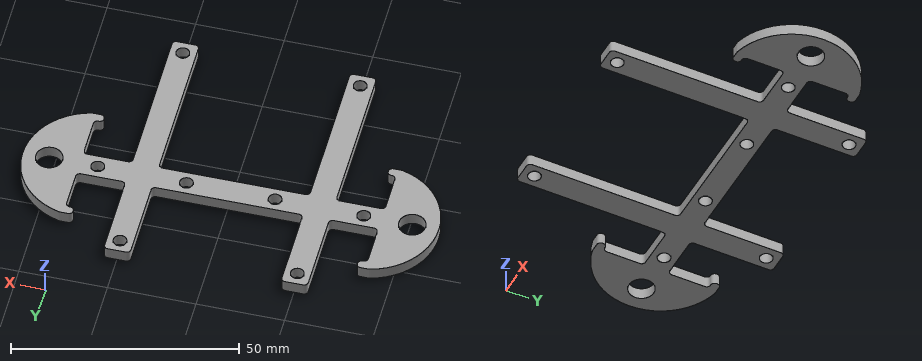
import cadquery as cq

length = 94.0
thickness = 3.0
strip_width = 6.0
corner_radius = 0.9

arm_x = 20.0
arm_top = 23.0
arm_bottom = -39.95
arm_hole_inset = 3.0

head_radius = 15.4
head_half_height = 15.0
head_center_x = length / 2 - head_radius
head_flat_x = 34.0
hook_tip_x = 32.1
hook_width = 2.1
notch_half_height = head_half_height - hook_width

small_hole_diameter = 3.0
head_hole_diameter = 6.0
head_hole_x = 41.0
spine_hole_spacing = 20.0
spine_hole_count = 4


def make_block(x_min, x_max, y_min, y_max):
    """Rectangular block with the plate thickness."""
    return (
        cq.Workplane("XY")
        .center((x_min + x_max) / 2, (y_min + y_max) / 2)
        .rect(x_max - x_min, y_max - y_min)
        .extrude(thickness)
    )


def make_left_head():
    """Disc cut off at the hook tips and flattened along the hooks, with a notch behind the hooks."""
    disc = cq.Workplane("XY").center(-head_center_x, 0).circle(head_radius).extrude(thickness)
    kept_side = make_block(-length / 2, -hook_tip_x, -head_half_height, head_half_height)
    notch = make_block(-head_flat_x, 0, -notch_half_height, notch_half_height)
    return disc.intersect(kept_side).cut(notch)


def make_outline():
    """Spine, cross arms and heads joined, with all corners rounded."""
    half_width = strip_width / 2
    left_head = make_left_head()
    body = make_block(-head_flat_x, head_flat_x, -half_width, half_width)
    body = body.union(left_head).union(left_head.mirror("YZ"))
    for x in (-arm_x, arm_x):
        body = body.union(make_block(x - half_width, x + half_width, arm_bottom, arm_top))
    return body.edges("|Z").fillet(corner_radius)


def cut_holes(body, points, diameter):
    """Round through holes at the given points."""
    holes = cq.Workplane("XY").pushPoints(points).circle(diameter / 2).extrude(thickness)
    return body.cut(holes)


arm_hole_points = [
    (x, y)
    for x in (-arm_x, arm_x)
    for y in (arm_bottom + arm_hole_inset, arm_top - arm_hole_inset)
]
spine_hole_points = [
    ((i - (spine_hole_count - 1) / 2) * spine_hole_spacing, 0)
    for i in range(spine_hole_count)
]
head_hole_points = [(-head_hole_x, 0), (head_hole_x, 0)]

result = make_outline()
result = cut_holes(result, arm_hole_points + spine_hole_points, small_hole_diameter)
result = cut_holes(result, head_hole_points, head_hole_diameter)